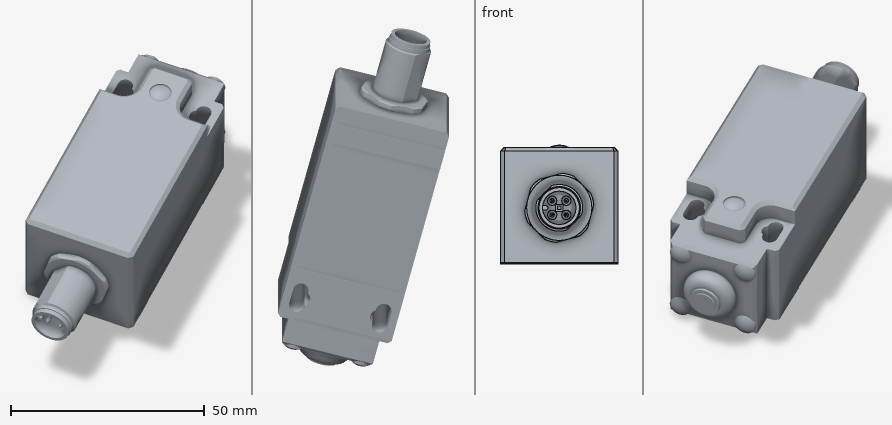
import cadquery as cq
import math


housing_width = 30.3
housing_rear = -27.7
housing_front = 32.4
floor_z = 0.3
shelf_z = 24.5
cover_z = 30.1
edge_chamfer = 1.0
shoulder_chamfer = 0.8
foot_strips = [(18.3, housing_front - shoulder_chamfer), (-22.8, -17.5)]

shelf_rear = 20.9
ridge_width = 11.8
ridge_front = 33.2
shelf_corner_radius = 4.3
slot_x = 11.1
slot_y = 26.0
slot_radius = 2.0
slot_length = 8.0
bulge_x = 10.05
bulge_radius = 2.0

head_size = shelf_z - floor_z
head_center_z = (shelf_z + floor_z) / 2
neck_front = 35.9
tongue_rear = 33.45
tongue_width = 12.1
head_front = 38.6
plate_edge = 0.3
plate_front = 39.8
screw_offset = 9.05
screw_radius = 2.8
screw_seat = 38.8
screw_rim_height = 1.2
screw_crown_height = 1.1

cap_base_radius = 6.3
cap_radius = 7.0
cap_widest_y = 41.6
cap_shoulder_radius = 6.7
cap_shoulder_y = 43.1
cap_crown_radius = 5.8
cap_crown_y = 44.2
cap_front = 44.6
step_radius = 4.1
step_front = 45.3
tip_radius = 3.0
tip_front = 45.7

lens_y = 25.3
lens_radius = 2.9
lens_rim_z = 29.7
lens_top_z = 30.6

plug_z = 14.4
plug_rear = -45.7
nut_across_flats = 16.8
nut_radius = 9.0
nut_face_radius = 8.4
nut_rear = -29.6
nut_chamfer_length = 0.32
shank_radius = 6.0
shank_flat_distance = 5.4
shank_rear = -43.1
shank_taper_end = -43.4
rim_radius = 5.5
rim_rear = -44.5
nose_radius = 5.2
bore_radius = 4.3
bore_floor = -37.5
pin_offset = 1.8
pin_radius = 0.55
pin_tip_radius = 0.2
pin_taper = 0.5
pin_rear = -43.6
pin_boss_radius = 1.2
center_boss_size = 1.8
center_hole_size = 0.8
boss_height = 0.5
key_width = 1.1
key_reach = 1.4


def box_between(x_range, y_range, z_range):
    """Box given by its start and end along each axis."""
    size = [end - start for start, end in (x_range, y_range, z_range)]
    corner = cq.Vector(x_range[0], y_range[0], z_range[0])
    return cq.Workplane(obj=cq.Solid.makeBox(*size, corner))


def centered(width, middle=0.0):
    """Start and end of a width centred on the given place."""
    return (middle - width / 2, middle + width / 2)


def rod(radius, y_start, y_end, x=0.0, z=0.0):
    """Cylinder along Y."""
    start = cq.Vector(x, min(y_start, y_end), z)
    return cq.Workplane(obj=cq.Solid.makeCylinder(radius, abs(y_end - y_start), start, cq.Vector(0, 1, 0)))


def turned(profile, x=0.0, z=0.0):
    """Revolve a closed (radius, y) profile about a Y axis through (x, z)."""
    return profile.revolve(360, (0, 0), (0, 1)).translate((x, 0, z))


def lower_block():
    half = housing_width / 2
    points = [
        (-half + edge_chamfer, housing_rear),
        (half - edge_chamfer, housing_rear),
        (half, housing_rear + edge_chamfer),
        (half, housing_front - shoulder_chamfer),
        (half - shoulder_chamfer, housing_front),
        (-half + shoulder_chamfer, housing_front),
        (-half, housing_front - shoulder_chamfer),
        (-half, housing_rear + edge_chamfer),
    ]
    return cq.Workplane("XY", origin=(0, 0, floor_z)).polyline(points).close().extrude(shelf_z - floor_z)


def cover_block():
    """Raised cover: full width at the rear, narrowing through round corners to the ridge."""
    half = housing_width / 2
    ridge = ridge_width / 2
    arc_x = ridge + shelf_corner_radius
    arc_y = shelf_rear + shelf_corner_radius
    arc_middle = shelf_corner_radius * math.sqrt(0.5)
    outline = (
        cq.Workplane("XY", origin=(0, 0, shelf_z))
        .moveTo(-half + edge_chamfer, housing_rear)
        .lineTo(half - edge_chamfer, housing_rear)
        .lineTo(half, housing_rear + edge_chamfer)
        .lineTo(half, shelf_rear)
        .lineTo(arc_x, shelf_rear)
        .threePointArc((arc_x - arc_middle, arc_y - arc_middle), (ridge, arc_y))
        .lineTo(ridge, ridge_front - edge_chamfer)
        .lineTo(ridge - edge_chamfer, ridge_front)
        .lineTo(-ridge + edge_chamfer, ridge_front)
        .lineTo(-ridge, ridge_front - edge_chamfer)
        .lineTo(-ridge, arc_y)
        .threePointArc((-arc_x + arc_middle, arc_y - arc_middle), (-arc_x, shelf_rear))
        .lineTo(-half, shelf_rear)
        .lineTo(-half, housing_rear + edge_chamfer)
        .close()
    )
    return outline.extrude(cover_z - shelf_z).faces(">Z").chamfer(edge_chamfer)


def mounting_hole(side):
    slot = (
        cq.Workplane("XY")
        .center(side * slot_x, slot_y)
        .slot2D(slot_length, 2 * slot_radius, 90)
        .extrude(shelf_z)
    )
    bulge = cq.Workplane("XY").center(side * bulge_x, slot_y).circle(bulge_radius).extrude(shelf_z)
    return slot.union(bulge)


def tongue_cross():
    """Two crossing bars behind the head that key it into the housing neck."""
    depth = (tongue_rear, neck_front)
    flat_bar = box_between(centered(head_size), depth, centered(tongue_width, head_center_z))
    upright_bar = box_between(centered(tongue_width), depth, centered(head_size, head_center_z))
    return flat_bar.union(upright_bar)


def make_housing():
    neck = box_between(centered(head_size), (housing_front, neck_front), centered(head_size, head_center_z))
    housing = lower_block().union(cover_block()).union(neck.cut(tongue_cross()))
    for start, end in foot_strips:
        housing = housing.union(box_between(centered(housing_width), (start, end), (0, floor_z)))
    for side in (-1, 1):
        housing = housing.cut(mounting_hole(side))
    lens_recess = cq.Workplane("XY", origin=(0, lens_y, lens_rim_z)).circle(lens_radius).extrude(cover_z)
    return housing.cut(lens_recess)


def screw_head(x, z):
    rim_front = screw_seat + screw_rim_height
    crown_front = rim_front + screw_crown_height
    sphere_radius = (screw_radius**2 + screw_crown_height**2) / (2 * screw_crown_height)
    middle_radius = screw_radius / 2
    middle_y = crown_front - sphere_radius + math.sqrt(sphere_radius**2 - middle_radius**2)
    profile = (
        cq.Workplane("XY")
        .moveTo(0, screw_seat)
        .lineTo(screw_radius, screw_seat)
        .lineTo(screw_radius, rim_front)
        .threePointArc((middle_radius, middle_y), (0, crown_front))
        .close()
    )
    return turned(profile, x, z)


def make_head():
    block = box_between(centered(head_size), (neck_front, head_front), centered(head_size, head_center_z))
    plate = box_between(centered(head_size), (head_front, plate_front), centered(head_size, head_center_z))
    plate = plate.faces(">Y").chamfer(plate_front - head_front - plate_edge)
    head = block.union(tongue_cross()).union(plate)
    for side_x in (-1, 1):
        for side_z in (-1, 1):
            head = head.union(screw_head(side_x * screw_offset, head_center_z + side_z * screw_offset))
    return head


def make_plunger():
    """Barrel-shaped rubber cap with a stepped tip."""
    profile = (
        cq.Workplane("XY")
        .moveTo(0, plate_front)
        .lineTo(cap_base_radius, plate_front)
        .threePointArc((cap_radius, cap_widest_y), (cap_shoulder_radius, cap_shoulder_y))
        .threePointArc((cap_crown_radius, cap_crown_y), (step_radius, cap_front))
        .lineTo(step_radius, step_front)
        .lineTo(tip_radius, step_front)
        .lineTo(tip_radius, tip_front)
        .lineTo(0, tip_front)
        .close()
    )
    return turned(profile, z=head_center_z)


def make_lens():
    height = lens_top_z - lens_rim_z
    sphere_radius = (lens_radius**2 + height**2) / (2 * height)
    middle_radius = lens_radius / 2
    middle_z = lens_top_z - sphere_radius + math.sqrt(sphere_radius**2 - middle_radius**2)
    profile = (
        cq.Workplane("XZ")
        .moveTo(0, lens_rim_z)
        .lineTo(lens_radius, lens_rim_z)
        .threePointArc((middle_radius, middle_z), (0, lens_top_z))
        .close()
    )
    return profile.revolve(360, (0, 0), (0, 1)).translate((0, lens_y, 0))


def plug_nut():
    """Hexagon with one pair of flats at 45 degrees, its corners turned down and chamfered."""
    across_corners = nut_across_flats / math.cos(math.pi / 6)
    hexagon = (
        cq.Workplane("XZ", origin=(0, housing_rear, 0))
        .polygon(6, across_corners)
        .extrude(housing_rear - nut_rear)
        .rotate((0, 0, 0), (0, 1, 0), -15)
    )
    profile = cq.Workplane("XY").polyline([
        (0, housing_rear),
        (nut_face_radius, housing_rear),
        (nut_radius, housing_rear - nut_chamfer_length),
        (nut_radius, nut_rear + nut_chamfer_length),
        (nut_face_radius, nut_rear),
        (0, nut_rear),
    ]).close()
    return hexagon.intersect(turned(profile))


def plug_shank():
    """Stepped sleeve with two opposite flats facing the diagonal, bored from its open end."""
    profile = cq.Workplane("XY").polyline([
        (0, nut_rear),
        (shank_radius, nut_rear),
        (shank_radius, shank_rear),
        (rim_radius, shank_taper_end),
        (rim_radius, rim_rear),
        (nose_radius, rim_rear),
        (nose_radius, plug_rear),
        (0, plug_rear),
    ]).close()
    between_flats = box_between(
        centered(2 * shank_radius), (plug_rear, nut_rear), centered(2 * shank_flat_distance)
    ).rotate((0, 0, 0), (0, 1, 0), -45)
    rim = rod(rim_radius, shank_taper_end, rim_rear)
    shank = turned(profile).intersect(between_flats).union(rim)
    return shank.cut(rod(bore_radius, bore_floor, plug_rear))


def contact_pin(x, z):
    boss = rod(pin_boss_radius, bore_floor, bore_floor - boss_height, x, z)
    profile = cq.Workplane("XY").polyline([
        (0, bore_floor),
        (pin_radius, bore_floor),
        (pin_radius, pin_rear + pin_taper),
        (pin_tip_radius, pin_rear),
        (0, pin_rear),
    ]).close()
    return boss.union(turned(profile, x, z))


def center_boss():
    depth = (bore_floor - boss_height, bore_floor)
    boss = box_between(centered(center_boss_size), depth, centered(center_boss_size))
    return boss.cut(box_between(centered(center_hole_size), depth, centered(center_hole_size)))


def coding_key():
    """Round-ended rib along the -X side of the bore."""
    round_x = -bore_radius + key_reach - key_width / 2
    depth = (rim_rear, bore_floor)
    rib = box_between((-bore_radius - key_width / 2, round_x), depth, centered(key_width))
    return rib.union(rod(key_width / 2, *depth, x=round_x))


def make_connector():
    connector = plug_nut().union(plug_shank())
    for x in (-pin_offset, pin_offset):
        for z in (-pin_offset, pin_offset):
            connector = connector.union(contact_pin(x, z))
    connector = connector.union(center_boss()).union(coding_key())
    return connector.translate((0, 0, plug_z))


housing = make_housing()
head = make_head()
plunger = make_plunger()
lens = make_lens()
connector = make_connector()

result = cq.Compound.makeCompound(
    [housing.val(), head.val(), plunger.val(), lens.val(), connector.val()]
)